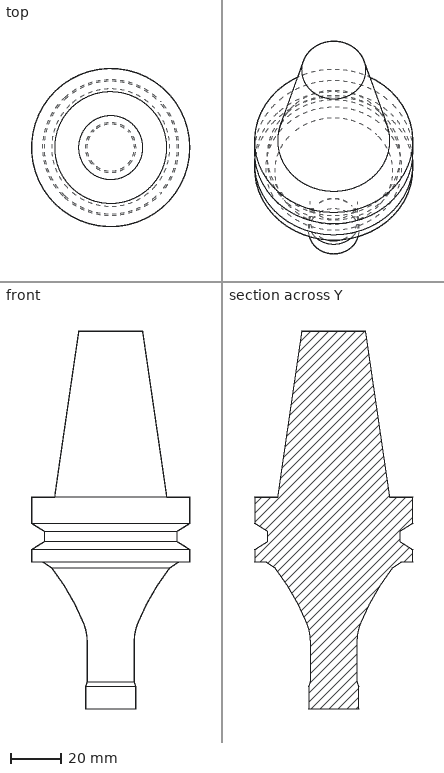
import cadquery as cq

nose_diameter = 20.0
shank_diameter = 18.8
flare_bottom_diameter = 21.5
flare_middle_diameter = 32.2
flare_top_diameter = 47.0
collar_diameter = 54.1
flange_diameter = 63.0
groove_diameter = 53.0
taper_large_diameter = 44.5
taper_ratio = 7 / 24

nose_top = 9.0
shank_bottom = 10.8
shank_top = 26.8
flare_bottom = 34.0
flare_top = 56.1
flange_bottom = 58.5
groove_lower_edge = 63.5
groove_floor_bottom = 66.6
groove_floor_top = 70.7
groove_upper_edge = 73.8
flange_top = 84.4
taper_bottom = 85.1
total_height = 150.4

flare_middle = (flare_bottom + flare_top) / 2
taper_small_diameter = taper_large_diameter - taper_ratio * (total_height - taper_bottom)


def rim(diameter, height):
    """Point of the half profile: radius and height."""
    return (diameter / 2, height)


nose_and_shank = (
    cq.Workplane("XZ")
    .moveTo(0, 0)
    .lineTo(*rim(nose_diameter, 0))
    .lineTo(*rim(nose_diameter, nose_top))
    .lineTo(*rim(shank_diameter, shank_bottom))
    .lineTo(*rim(shank_diameter, shank_top))
)

flare = (
    nose_and_shank
    .tangentArcPoint(rim(flare_bottom_diameter, flare_bottom), relative=False)
    .threePointArc(rim(flare_middle_diameter, flare_middle), rim(flare_top_diameter, flare_top))
    .lineTo(*rim(collar_diameter, flange_bottom))
)

flange = (
    flare
    .lineTo(*rim(flange_diameter, flange_bottom))
    .lineTo(*rim(flange_diameter, groove_lower_edge))
    .lineTo(*rim(groove_diameter, groove_floor_bottom))
    .lineTo(*rim(groove_diameter, groove_floor_top))
    .lineTo(*rim(flange_diameter, groove_upper_edge))
    .lineTo(*rim(flange_diameter, flange_top))
)

profile = (
    flange
    .lineTo(*rim(taper_large_diameter, flange_top))
    .lineTo(*rim(taper_large_diameter, taper_bottom))
    .lineTo(*rim(taper_small_diameter, total_height))
    .lineTo(0, total_height)
    .close()
)

result = profile.revolve(360, (0, 0, 0), (0, 1, 0))